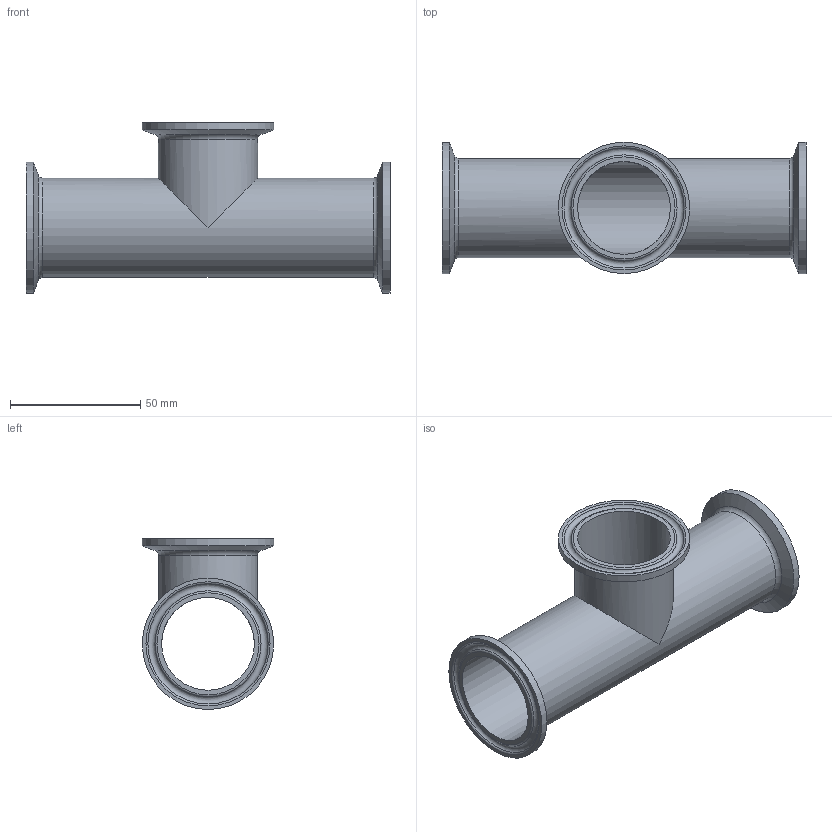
import cadquery as cq
import math


tube_radius = 38.1 / 2
bore_radius = 35.7 / 2
run_half_length = 70.0
branch_height = 40.5

rim_radius = 50.5 / 2
rim_thickness = 2.85
back_angle = math.radians(20)
neck_fillet = 2.0

groove_radius = 43.5 / 2
groove_bottom_radius = 1.45
groove_lip_radius = 0.8
groove_wall_angle = math.radians(70)


def neck_points():
    """Start, middle and end of the neck fillet, as (radius, distance behind the face)."""
    cone_depth = (rim_radius - tube_radius) * math.tan(back_angle)
    corner = rim_thickness + cone_depth
    turn = math.pi / 2 - back_angle
    centre_r = tube_radius + neck_fillet
    centre_d = corner + neck_fillet * math.tan(turn / 2)

    def on_fillet(angle):
        return (centre_r - neck_fillet * math.cos(angle), centre_d - neck_fillet * math.sin(angle))

    return on_fillet(turn), on_fillet(turn / 2), on_fillet(0)


def arm_body(length):
    """Solid arm along +Z from the origin, with the ferrule face at z = length."""
    start, middle, end = [(r, length - depth) for r, depth in neck_points()]
    return (
        cq.Workplane("XZ")
        .moveTo(0, 0)
        .lineTo(tube_radius, 0)
        .lineTo(*end)
        .threePointArc(middle, start)
        .lineTo(rim_radius, length - rim_thickness)
        .lineTo(rim_radius, length)
        .lineTo(0, length)
        .close()
        .revolve(360, (0, 0, 0), (0, 1, 0))
    )


def groove_ring(length):
    """Ring-shaped cutter for the gasket groove in the face at z = length."""
    lip_offset = (groove_bottom_radius + groove_lip_radius) * math.sin(groove_wall_angle)
    depth = (groove_bottom_radius + groove_lip_radius) * (1 - math.cos(groove_wall_angle))

    def on_lip(side, angle):
        offset = lip_offset - groove_lip_radius * math.sin(angle)
        drop = groove_lip_radius * (1 - math.cos(angle))
        return (groove_radius + side * offset, length - drop)

    return (
        cq.Workplane("XZ")
        .moveTo(*on_lip(-1, 0))
        .threePointArc(on_lip(-1, groove_wall_angle / 2), on_lip(-1, groove_wall_angle))
        .threePointArc((groove_radius, length - depth), on_lip(1, groove_wall_angle))
        .threePointArc(on_lip(1, groove_wall_angle / 2), on_lip(1, 0))
        .close()
        .revolve(360, (0, 0, 0), (0, 1, 0))
    )


def bore(length):
    """Cutter for the bore of an arm along +Z."""
    return cq.Workplane("XY").circle(bore_radius).extrude(length)


def tilt(shape, angle):
    """Turn an arm from +Z about the Y axis."""
    return shape.rotate((0, 0, 0), (0, 1, 0), angle)


arms = [
    (branch_height, 0),
    (run_half_length, 90),
    (run_half_length, -90),
]

result = cq.Workplane("XY")
for arm_length, arm_angle in arms:
    result = result.union(tilt(arm_body(arm_length), arm_angle))

for arm_length, arm_angle in arms:
    result = result.cut(tilt(bore(arm_length), arm_angle))
    result = result.cut(tilt(groove_ring(arm_length), arm_angle))